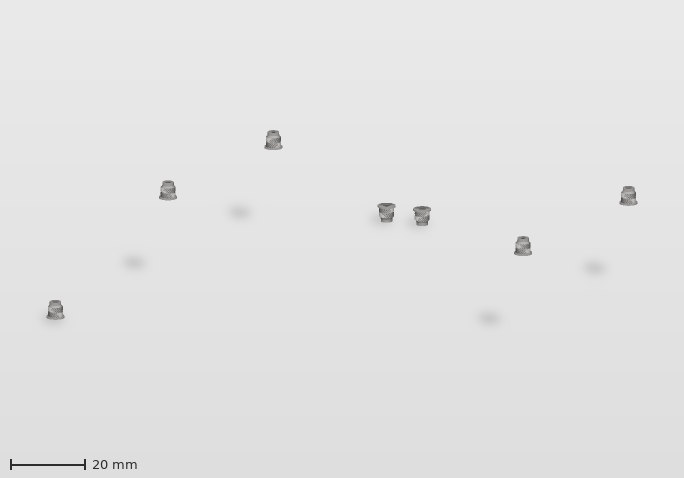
import cadquery as cq
import math

height = 4.5
flange_diameter = 4.8
flange_height = 0.4
knurl_diameter = 4.0
tooth_depth = 0.2
tooth_count = 24
tooth_twist = 40.0
band_height = 1.2
groove_height = 0.3
shoulder_height = 0.5
pilot_diameter = 3.1
bore_diameter = 1.5
bore_mouth_diameter = 2.2

flange_radius = flange_diameter / 2
knurl_radius = knurl_diameter / 2
root_radius = knurl_radius - tooth_depth
pilot_radius = pilot_diameter / 2
bore_radius = bore_diameter / 2
bore_mouth_radius = bore_mouth_diameter / 2
bore_chamfer = bore_mouth_radius - bore_radius

lower_band_level = flange_height
upper_band_level = lower_band_level + band_height + groove_height
shoulder_level = upper_band_level + band_height
pilot_level = shoulder_level + shoulder_height

overall_x = 118.7
overall_y = 134.6
overall_z = 25.6

outer_axis_x = overall_x / 2 - flange_radius
outer_axis_y = overall_y / 2 - flange_radius

grid_spacing_x = 110.0
grid_spacing_y = 56.9
grid_far_y = 46.0
grid_level = overall_z / 2 - height

corner_level = -12.2

inverted_level = height - overall_z / 2
far_inverted_x = -17.8
near_inverted_x = -27.7
near_inverted_y = 63.0


def revolved(profile):
    """A solid turned about Z from a list of (radius, level) points."""
    return cq.Workplane("XZ").polyline(profile).close().revolve(360, (0, 0), (0, 1))


def polar_point(radius, angle):
    return (radius * math.cos(angle), radius * math.sin(angle))


def make_knurled_band(level, twist):
    """A ring of pointed teeth that slant round the axis by the twist angle."""
    pitch = 2 * math.pi / tooth_count
    outline = []
    for tooth in range(tooth_count):
        tip_angle = tooth * pitch
        outline.append(polar_point(knurl_radius, tip_angle))
        outline.append(polar_point(root_radius, tip_angle + pitch / 2))
    section = cq.Workplane("XY").workplane(offset=level).polyline(outline).close()
    return section.twistExtrude(band_height, twist)


def make_core():
    """The flange, the toothless barrel, the tapered shoulder and the pilot."""
    return revolved([
        (0, 0),
        (flange_radius, 0),
        (flange_radius, flange_height),
        (root_radius, flange_height),
        (root_radius, shoulder_level),
        (pilot_radius, pilot_level),
        (pilot_radius, height),
        (0, height),
    ])


def make_bore():
    """The through bore, chamfered at both mouths."""
    return revolved([
        (0, 0),
        (bore_mouth_radius, 0),
        (bore_radius, bore_chamfer),
        (bore_radius, height - bore_chamfer),
        (bore_mouth_radius, height),
        (0, height),
    ])


def make_insert():
    """An insert standing on its flange at the origin, with its axis on Z."""
    body = make_core()
    body = body.union(make_knurled_band(lower_band_level, tooth_twist))
    body = body.union(make_knurled_band(upper_band_level, -tooth_twist))
    return body.cut(make_bore()).solids()


upright_insert = make_insert()
inverted_insert = upright_insert.rotate((0, 0, 0), (1, 0, 0), 180)

upright_places = [(-outer_axis_x, -outer_axis_y, corner_level)]
for x in (outer_axis_x - grid_spacing_x, outer_axis_x):
    for y in (grid_far_y - grid_spacing_y, grid_far_y):
        upright_places.append((x, y, grid_level))

inverted_places = [
    (far_inverted_x, outer_axis_y, inverted_level),
    (near_inverted_x, near_inverted_y, inverted_level),
]

inserts = [upright_insert.translate(place).val() for place in upright_places]
inserts += [inverted_insert.translate(place).val() for place in inverted_places]

result = cq.Compound.makeCompound(inserts)